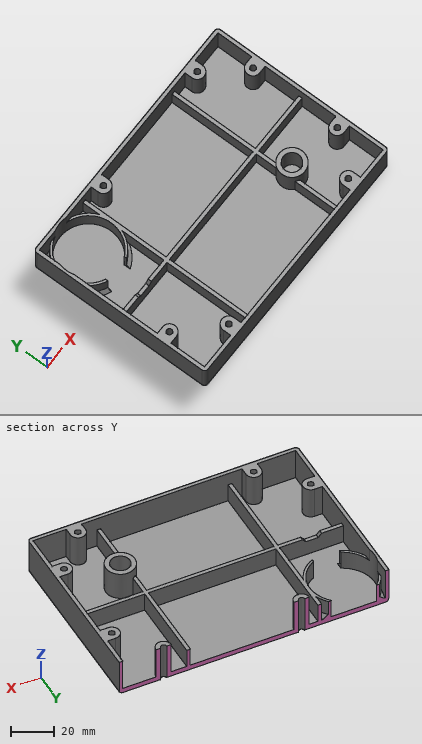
import cadquery as cq
length = 140.0
width = 100.0
height = 20.0
wall = 2.0
floor = 3.0
edge_radius = 2.0
half_length = length / 2
half_width = width / 2

rib_thickness = 2.0
rib_top = 13.0
cross_rib_x = 34.0

boss_diameter = 8.0
screw_hole_diameter = 3.1
boss_inset = 6.0
side_boss_y = 24.5
end_boss_x = 46.9
upper_left_boss_x = -24.6
lower_left_boss_x = -44.2

post_x = 38.1
post_y = -17.9
post_diameter = 15.0
post_bore_diameter = 10.0
post_top = 18.0

ring_inset = 18.2
ring_inner_radius = 16.8
ring_outer_radius = 18.0
ring_foot_flare = 2.0
ring_gap = 14.1
ring_x = ring_inset - half_length
ring_y = half_width - ring_inset

notch_width = 10.0
notch_depth = 2.0
notch_bottom_width = 6.3


def block(x_min, x_max, y_min, y_max, z_min, z_max):
    """Axis-aligned block given by its limits."""
    size = (x_max - x_min, y_max - y_min, z_max - z_min)
    return cq.Workplane("XY").box(*size, centered=False).translate((x_min, y_min, z_min))


def cylinder(x, y, radius, z_min, z_max):
    """Upright cylinder between two heights."""
    return cq.Workplane("XY", origin=(x, y, z_min)).circle(radius).extrude(z_max - z_min)


def make_solid_box():
    """Outer block with rounded upright and bottom edges."""
    box = cq.Workplane("XY").box(length, width, height, centered=(True, True, False))
    return box.edges("|Z").fillet(edge_radius).faces("<Z").edges().fillet(edge_radius)


def make_cavity():
    """Open space inside the walls."""
    return block(
        wall - half_length, half_length - wall, wall - half_width, half_width - wall, floor, height
    )


def make_ribs():
    """One lengthwise rib and two crosswise ribs."""
    half_rib = rib_thickness / 2
    ribs = block(wall - half_length, half_length - wall, -half_rib, half_rib, floor, rib_top)
    for x in (-cross_rib_x, cross_rib_x):
        ribs = ribs.union(
            block(x - half_rib, x + half_rib, wall - half_width, half_width - wall, floor, rib_top)
        )
    return ribs


def make_notch():
    """Tapered opening in the lengthwise rib, facing the gap of the ring."""
    notch_bottom = rib_top - notch_depth
    outline = [
        (ring_x - notch_width / 2, rib_top),
        (ring_x - notch_bottom_width / 2, notch_bottom),
        (ring_x + notch_bottom_width / 2, notch_bottom),
        (ring_x + notch_width / 2, rib_top),
    ]
    return cq.Workplane("XZ").polyline(outline).close().extrude(rib_thickness, both=True)


def make_ring():
    """Corner ring, level with the ribs, with a flared foot and a gap facing -Y."""
    ring = cylinder(ring_x, ring_y, ring_outer_radius, floor, rib_top)
    foot = (
        cq.Workplane("XY", origin=(ring_x, ring_y, floor))
        .circle(ring_outer_radius + ring_foot_flare)
        .workplane(offset=ring_foot_flare)
        .circle(ring_outer_radius)
        .loft()
    )
    gap = block(ring_x - ring_gap / 2, ring_x + ring_gap / 2, 0, ring_y, floor, height)
    corner = block(wall - half_length, -cross_rib_x, 0, half_width - wall, floor, rib_top)
    return ring.union(foot).cut(gap).intersect(corner)


def make_boss(x, y, angle):
    """Round boss with a straight web joining it to the wall in direction angle."""
    radius = boss_diameter / 2
    web = block(0, boss_inset - wall, -radius, radius, floor, height)
    boss = cylinder(0, 0, radius, floor, height).union(web)
    return boss.rotate((0, 0, 0), (0, 0, 1), angle).translate((x, y, 0))


wall_boss_x = half_length - boss_inset
wall_boss_y = half_width - boss_inset

bosses = [
    (upper_left_boss_x, wall_boss_y, 90),
    (end_boss_x, wall_boss_y, 90),
    (wall_boss_x, side_boss_y, 0),
    (wall_boss_x, -side_boss_y, 0),
    (end_boss_x, -wall_boss_y, 270),
    (lower_left_boss_x, -wall_boss_y, 270),
    (-wall_boss_x, -side_boss_y, 180),
]

result = make_solid_box().cut(make_cavity())
result = result.union(make_ribs().cut(make_notch()))
result = result.union(make_ring())
result = result.cut(cylinder(ring_x, ring_y, ring_inner_radius, floor, height))

for x, y, angle in bosses:
    result = result.union(make_boss(x, y, angle))
for x, y, angle in bosses:
    result = result.cut(cylinder(x, y, screw_hole_diameter / 2, 0, height))

result = result.union(cylinder(post_x, post_y, post_diameter / 2, floor, post_top))
result = result.cut(cylinder(post_x, post_y, post_bore_diameter / 2, floor, post_top))